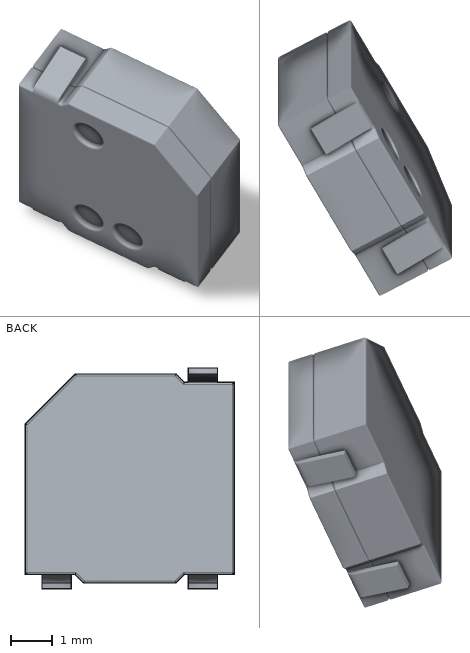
import cadquery as cq
import math

side = 5.0
depth = 2.0
base_depth = 0.65
corner_cut = 1.2
step_depth = 0.2
step_inner_x = 1.105
edge_radius = 0.05

hole_diameter = 0.8
hole_depth = 0.15
hole_x = 0.55
hole_z = 1.6

terminal_width = 0.7
terminal_thickness = 0.15
terminal_x = 1.75
terminal_inner_z = 1.5
terminal_tip_z = 2.64
bend_radius = 0.2
lean = math.radians(9.8)

half = side / 2
step_z = half - step_depth
step_outer_x = step_inner_x + step_depth


def case_slab(front_y, back_y):
    """A slice of the case between two Y positions, rounded around both faces."""
    outline = [
        (-half, -step_z),
        (-step_outer_x, -step_z),
        (-step_inner_x, -half),
        (step_inner_x, -half),
        (step_outer_x, -step_z),
        (half, -step_z),
        (half, half - corner_cut),
        (half - corner_cut, half),
        (-step_inner_x, half),
        (-step_outer_x, step_z),
        (-half, step_z),
    ]
    slab = (
        cq.Workplane("XZ", origin=(0, front_y, 0))
        .polyline(outline)
        .close()
        .extrude(front_y - back_y)
    )
    return slab.faces("<Y or >Y").edges().fillet(edge_radius)


def hole_cutter(x, z):
    """A blind round hole with a rounded rim, as a turned solid on the Y axis."""
    radius = hole_diameter / 2
    rim_radius = radius + edge_radius
    arc_middle = edge_radius * (1 - math.sqrt(0.5))
    profile = (
        cq.Workplane("XY")
        .lineTo(rim_radius, 0)
        .threePointArc((radius + arc_middle, arc_middle), (radius, edge_radius))
        .lineTo(radius, hole_depth)
        .lineTo(0, hole_depth)
        .close()
    )
    return profile.revolve(360, (0, 0), (0, 1)).translate((x, 0, z))


def terminal(x, mirrored):
    """A bent strip at the top edge of the base, or at the bottom edge if mirrored."""
    bend_y = bend_radius
    bend_z = step_z - edge_radius
    inner_radius = bend_radius - terminal_thickness

    def on_bend(radius, angle):
        return (bend_y - radius * math.cos(angle), bend_z + radius * math.sin(angle))

    bend_angle = math.pi / 2 - lean
    outer_end = on_bend(bend_radius, bend_angle)
    inner_end = on_bend(inner_radius, bend_angle)
    leg_rise = terminal_tip_z - outer_end[1]
    leg_run = leg_rise / math.tan(lean)

    strip = (
        cq.Workplane("YZ", origin=(x - terminal_width / 2, 0, 0))
        .moveTo(0, terminal_inner_z)
        .lineTo(0, bend_z)
        .threePointArc(on_bend(bend_radius, bend_angle / 2), outer_end)
        .line(leg_run, leg_rise)
        .lineTo(inner_end[0] + leg_run, inner_end[1] + leg_rise)
        .lineTo(*inner_end)
        .threePointArc(on_bend(inner_radius, bend_angle / 2), (terminal_thickness, bend_z))
        .lineTo(terminal_thickness, terminal_inner_z)
        .close()
        .extrude(terminal_width)
    )
    return strip.mirror("XY") if mirrored else strip


terminal_places = [(-terminal_x, False), (-terminal_x, True), (terminal_x, True)]
terminals = [terminal(x, mirrored) for x, mirrored in terminal_places]

base = case_slab(0, base_depth)
for x, z in [(-hole_x, hole_z), (-hole_x, -hole_z), (hole_x, -hole_z)]:
    base = base.cut(hole_cutter(x, z))
for strip in terminals:
    base = base.cut(strip)

cover = case_slab(base_depth, depth)

result = cq.Compound.makeCompound([base.val(), cover.val(), *[strip.val() for strip in terminals]])